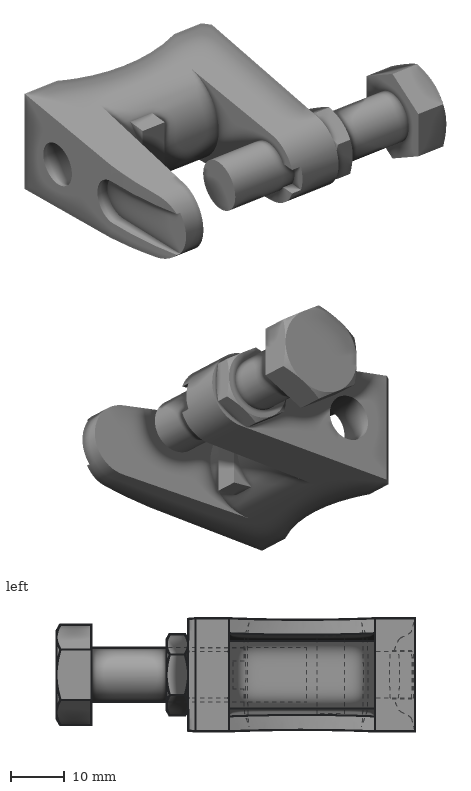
import cadquery as cq
import math


frame_top = 42.0
back_half_height = 10.5
side_slope = 0.095
back_chamfer = 1.4

lower_arm_length = 44.0
upper_arm_length = 41.0
web_length = 18.45

throat_start = 9.35
lower_inner_start_y = 9.9
lower_inner_tip_y = 8.7
upper_inner_start_y = 30.75
upper_inner_tip_y = 31.75

curve_start_x = 25.9
curve_start_y = 0.65
curve_middle_x = 37.7
curve_middle_y = 2.5
curve_tip_y = 4.4

hollow_bottom = 7.45
hollow_top = 34.45
hollow_depth = 15.0
hollow_wall = 2.8
back_concavity = 2.85

rod_hole_x = 9.95
rod_hole_diameter = 8.6

groove_width = 9.0
groove_end_x = 22.0
groove_start_floor_y = 2.85
groove_tip_floor_y = 4.7

tip_groove_width = 5.2
tip_groove_floor_y = 33.7

block_bottom = 13.1
block_length = 5.05
block_outer_x = 19.1
block_inner_x = 15.2

bolt_x = 33.45
bolt_diameter = 10.0
bolt_tip_y = 20.1
head_thickness = 6.45
head_across_flats = 16.15
bolt_top = 66.4
nut_thickness = 4.0
nut_across_flats = 13.0
hex_bevel_angle = 30.0


def extrude_y(sketch_y):
    """Workplane with local axes X and -Z that extrudes towards +Y from the given Y."""
    return cq.Workplane(cq.Plane(origin=(0, sketch_y, 0), xDir=(1, 0, 0), normal=(0, 1, 0)))


def half_height(x):
    return back_half_height - side_slope * x


def tapered_bar(length, bottom, top):
    """Bar along X whose sides taper and run tangentially into a rounded end."""
    slant = math.hypot(1, side_slope)
    radius = half_height(length) / (slant - side_slope)
    tangent_x = length - radius + radius * side_slope / slant
    tangent_z = half_height(tangent_x)
    return (
        extrude_y(bottom)
        .moveTo(0, -back_half_height)
        .lineTo(tangent_x, -tangent_z)
        .threePointArc((length, 0), (tangent_x, tangent_z))
        .lineTo(0, back_half_height)
        .close()
        .extrude(top - bottom)
    )


def slab(profile, height):
    """Closed profile in X and Y, extruded evenly to both sides of the middle plane."""
    return profile.close().extrude(height / 2, both=True)


def make_lower_arm():
    profile = (
        cq.Workplane("XY")
        .lineTo(curve_start_x, curve_start_y)
        .threePointArc((curve_middle_x, curve_middle_y), (lower_arm_length, curve_tip_y))
        .lineTo(lower_arm_length, lower_inner_tip_y)
        .lineTo(throat_start, lower_inner_start_y)
        .lineTo(0, lower_inner_start_y)
    )
    return tapered_bar(lower_arm_length, 0, frame_top).intersect(slab(profile, 2 * back_half_height))


def make_upper_arm():
    profile = (
        cq.Workplane("XY")
        .moveTo(0, upper_inner_start_y)
        .lineTo(throat_start, upper_inner_start_y)
        .lineTo(upper_arm_length, upper_inner_tip_y)
        .lineTo(upper_arm_length, frame_top)
        .lineTo(back_chamfer, frame_top)
        .lineTo(0, frame_top - back_chamfer)
    )
    return tapered_bar(upper_arm_length, 0, frame_top).intersect(slab(profile, 2 * back_half_height))


def make_hollow():
    return (
        extrude_y(hollow_bottom)
        .moveTo(0, -half_height(0) + hollow_wall)
        .lineTo(hollow_depth, -half_height(hollow_depth) + hollow_wall)
        .lineTo(hollow_depth, half_height(hollow_depth) - hollow_wall)
        .lineTo(0, half_height(0) - hollow_wall)
        .close()
        .extrude(hollow_top - hollow_bottom)
    )


def make_back_concavity():
    profile = (
        cq.Workplane("XY")
        .moveTo(0, hollow_bottom)
        .threePointArc((back_concavity, (hollow_bottom + hollow_top) / 2), (0, hollow_top))
    )
    return slab(profile, 2 * back_half_height)


def make_rod_hole():
    return extrude_y(0).center(rod_hole_x, 0).circle(rod_hole_diameter / 2).extrude(frame_top)


def make_lower_groove():
    """Round-ended groove whose floor slopes up towards the arm tip."""
    round_x = groove_end_x + groove_width / 2
    outline = (
        extrude_y(0)
        .moveTo(lower_arm_length, -groove_width / 2)
        .lineTo(round_x, -groove_width / 2)
        .threePointArc((groove_end_x, 0), (round_x, groove_width / 2))
        .lineTo(lower_arm_length, groove_width / 2)
        .close()
        .extrude(lower_inner_tip_y)
    )
    below_floor = (
        cq.Workplane("XY")
        .moveTo(groove_end_x, 0)
        .lineTo(lower_arm_length, 0)
        .lineTo(lower_arm_length, groove_tip_floor_y)
        .lineTo(groove_end_x, groove_start_floor_y)
    )
    return outline.intersect(slab(below_floor, groove_width))


def make_tip_groove():
    """Groove from the bolt hole out through the tip of the upper arm."""
    length = upper_arm_length - bolt_x
    depth = tip_groove_floor_y - upper_inner_start_y
    return cq.Workplane("XY").box(length, depth, tip_groove_width, centered=(False, False, True)).translate(
        (bolt_x, upper_inner_start_y, 0)
    )


def make_web_block():
    """Flat-faced block as wide as the rounded web is at the block's inner edge."""
    radius = half_height(web_length) / (math.hypot(1, side_slope) - side_slope)
    half_width = math.sqrt(radius**2 - (block_inner_x - web_length + radius) ** 2)
    return (
        cq.Workplane("XY")
        .box(block_outer_x - block_inner_x, block_length, 2 * half_width, centered=(False, False, True))
        .translate((block_inner_x, block_bottom, 0))
    )


def make_bolt_hole():
    depth = frame_top - bolt_tip_y
    return extrude_y(bolt_tip_y).center(bolt_x, 0).circle(bolt_diameter / 2).extrude(depth)


def make_frame():
    web = tapered_bar(web_length, lower_inner_tip_y, upper_inner_tip_y)
    return (
        make_lower_arm()
        .union(make_upper_arm())
        .union(web)
        .union(make_web_block())
        .cut(make_hollow())
        .cut(make_back_concavity())
        .cut(make_rod_hole())
        .cut(make_lower_groove())
        .cut(make_tip_groove())
        .cut(make_bolt_hole())
    )


def bevelled_hexagon(across_flats, bottom, thickness, bevel_both_ends):
    """Hexagonal prism along Y with corners on +Z and -Z, its corners bevelled by a cone."""
    corner_radius = across_flats / math.sqrt(3)
    flat_radius = across_flats / 2
    bevel = (corner_radius - flat_radius) * math.tan(math.radians(hex_bevel_angle))
    prism = (
        extrude_y(bottom)
        .center(bolt_x, 0)
        .transformed(rotate=(0, 0, 90))
        .polygon(6, 2 * corner_radius)
        .extrude(thickness)
    )
    envelope = extrude_y(bottom).center(bolt_x, 0).circle(corner_radius).extrude(thickness)
    bevelled_faces = "<Y or >Y" if bevel_both_ends else ">Y"
    envelope = envelope.faces(bevelled_faces).edges().chamfer(bevel, corner_radius - flat_radius)
    return prism.intersect(envelope)


def make_bolt():
    head_bottom = bolt_top - head_thickness
    shank = extrude_y(bolt_tip_y).center(bolt_x, 0).circle(bolt_diameter / 2).extrude(head_bottom - bolt_tip_y)
    return bevelled_hexagon(head_across_flats, head_bottom, head_thickness, False).union(shank)


def make_nut():
    bore = extrude_y(frame_top).center(bolt_x, 0).circle(bolt_diameter / 2).extrude(nut_thickness)
    return bevelled_hexagon(nut_across_flats, frame_top, nut_thickness, True).cut(bore)


frame = make_frame()
bolt = make_bolt()
nut = make_nut()

result = cq.Compound.makeCompound([frame.val(), bolt.val(), nut.val()])